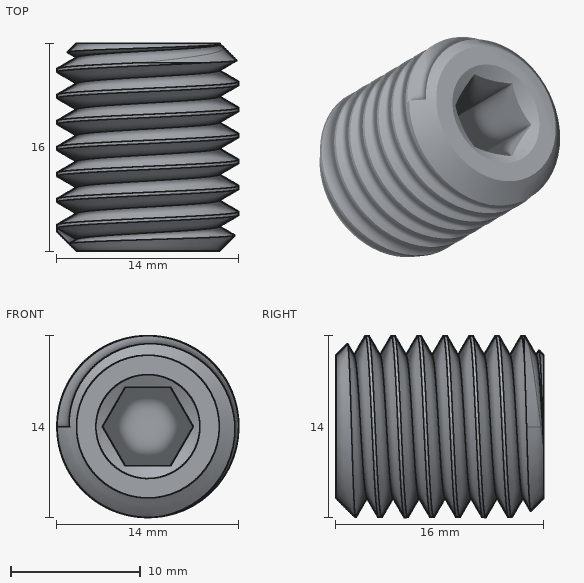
import cadquery as cq
import math

length = 16.0
outer_diameter = 14.0
pitch = 2.0
crest_flat = pitch / 8
flank_half_angle = math.radians(30)
first_groove_y = 0.9
end_chamfer = 1.5

hex_across_flats = 6.05
socket_depth = 8.0
countersink_diameter = 8.0
countersink_depth = 0.69

outer_radius = outer_diameter / 2
thread_depth = (pitch - crest_flat) / 2 / math.tan(flank_half_angle)
root_radius = outer_radius - thread_depth


def make_blank():
    """Cylinder with 45 degree end chamfers about as deep as the thread."""
    blank = cq.Workplane("XZ").circle(outer_radius).extrude(-length)
    return blank.faces("<Y or >Y").chamfer(end_chamfer)


def make_thread_groove():
    """Right-handed V groove that starts abruptly and runs out through the far end."""
    overshoot = 0.08
    turns = math.ceil((length - first_groove_y) / pitch) + 1
    half_width = (thread_depth + overshoot) * math.tan(flank_half_angle)
    mouth_radius = outer_radius + overshoot

    helix = cq.Wire.makeHelix(pitch, turns * pitch, root_radius)
    groove = (
        cq.Workplane("XZ")
        .polyline([(root_radius, 0), (mouth_radius, half_width), (mouth_radius, -half_width)])
        .close()
        .sweep(cq.Workplane(obj=helix), isFrenet=True)
    )
    groove = groove.rotate((0, 0, 0), (1, 0, 0), -90)
    groove = groove.rotate((0, 0, 0), (0, 1, 0), 180)
    return groove.translate((0, first_groove_y, 0))


def make_socket():
    """Blind hexagon with corners on the X axis, entered through a cone down to its flats."""
    across_corners = hex_across_flats / math.cos(math.radians(30))
    hexagon = cq.Workplane("XZ").polygon(6, across_corners).extrude(-socket_depth)
    countersink = (
        cq.Workplane("XY")
        .polyline([(0, 0), (countersink_diameter / 2, 0), (hex_across_flats / 2, countersink_depth),
                   (0, countersink_depth)])
        .close()
        .revolve(360, (0, 0, 0), (0, 1, 0))
    )
    return hexagon.union(countersink)


result = make_blank().cut(make_thread_groove()).cut(make_socket())